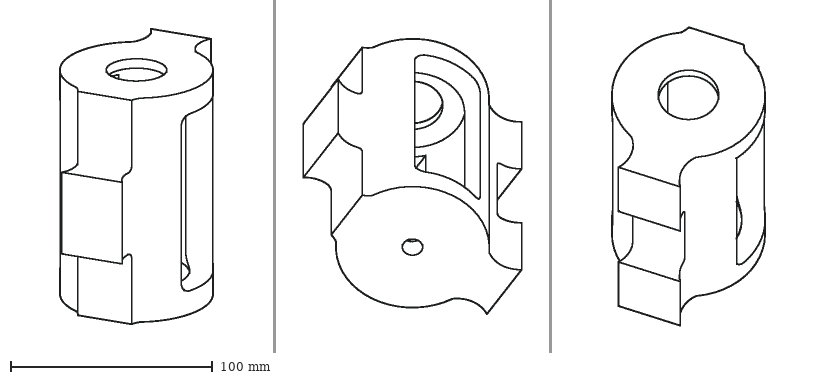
import cadquery as cq
import math

height = 119.4
body_diameter = 76.0
depth = 107.0

lug_width = 33.0
neck_width = 27.0
neck_y = 44.2
neck_fillet = 1.8

wing_blank_width = 39.4

lug_height = 43.5
front_flat_y = 38.3
front_lug_fillet = 2.5
notch_floor_y = 41.0
notch_fillet = 2.0

window_width = body_diameter / 2
window_height = 94.3
window_fillet = 5.0

cavity_diameter = 52.8
top_wall = 5.0
bottom_wall = 11.0
top_bore_diameter = 30.0
floor_hole_diameter = 10.0

body_radius = body_diameter / 2
half_depth = depth / 2
half_height = height / 2
half_lug_height = lug_height / 2
floor_z = bottom_wall - half_height
cavity_top_z = half_height - top_wall
clearance = 11.9


def cylinder(diameter, z_bottom, z_top):
    """Cylinder on the body axis."""
    return cq.Workplane("XY").workplane(offset=z_bottom).circle(diameter / 2).extrude(z_top - z_bottom)


def box(x_range, y_range, z_range):
    """Axis-aligned box between the given limits."""
    sizes = [high - low for low, high in (x_range, y_range, z_range)]
    corner = (x_range[0], y_range[0], z_range[0])
    return cq.Workplane("XY").box(*sizes, centered=False).translate(corner)


def winged_body():
    """Round body with a full-height concave-sided wing on each Y side."""
    half_lug = lug_width / 2
    half_neck = neck_width / 2
    sagitta = half_lug - half_neck
    half_chord = half_depth - neck_y
    flank_radius = (half_chord ** 2 + sagitta ** 2) / (2 * sagitta)
    flank_x = half_neck + flank_radius

    wings = cq.Workplane("XY").rect(wing_blank_width, depth).extrude(height)
    flank_centers = [(sx * flank_x, sy * neck_y) for sx in (-1, 1) for sy in (-1, 1)]
    flanks = cq.Workplane("XY").pushPoints(flank_centers).circle(flank_radius).extrude(height)
    wings = wings.cut(flanks).translate((0, 0, -half_height))
    body = cylinder(body_diameter, -half_height, half_height).union(wings)

    distance = math.hypot(flank_x, neck_y)
    along = (distance ** 2 + body_radius ** 2 - flank_radius ** 2) / (2 * distance)
    angle = math.atan2(neck_y, flank_x) + math.acos(along / body_radius)
    corner_x = body_radius * math.cos(angle)
    corner_y = body_radius * math.sin(angle)
    for sx in (-1, 1):
        for sy in (-1, 1):
            selector = cq.selectors.NearestToPointSelector((sx * corner_x, sy * corner_y, 0))
            body = body.edges(selector).fillet(neck_fillet)
    return body


def front_reliefs():
    """Cuts above and below the front lug, leaving a fillet at its root."""
    x_range = (-body_radius, body_radius)
    y_range = (-half_depth - clearance, -front_flat_y)
    upper = box(x_range, y_range, (half_lug_height, half_height + clearance))
    upper = upper.edges(">Y and <Z").fillet(front_lug_fillet)
    return upper.union(upper.mirror("XY"))


def rear_notch():
    """Slot across the rear wing with rounded inner corners."""
    notch = box(
        (-body_radius, body_radius),
        (notch_floor_y, half_depth + clearance),
        (-half_lug_height, half_lug_height),
    )
    return notch.edges("|X and <Y").fillet(notch_fillet)


def side_windows():
    """Windows through both X sides; the -X one has a sharp upper +Y corner."""
    y_range = (-window_width / 2, window_width / 2)
    z_range = (-window_height / 2, window_height / 2)
    reach = body_radius + clearance
    right = box((0, reach), y_range, z_range).edges("|X").fillet(window_fillet)
    left = box((-reach, 0), y_range, z_range)
    left = left.edges("|X").edges("<Z or (<Y and >Z)").fillet(window_fillet)
    return right.union(left)


result = (
    winged_body()
    .cut(front_reliefs())
    .cut(rear_notch())
    .cut(side_windows())
    .cut(cylinder(cavity_diameter, floor_z, cavity_top_z))
    .cut(cylinder(top_bore_diameter, 0, half_height))
    .cut(cylinder(floor_hole_diameter, -half_height, 0))
)